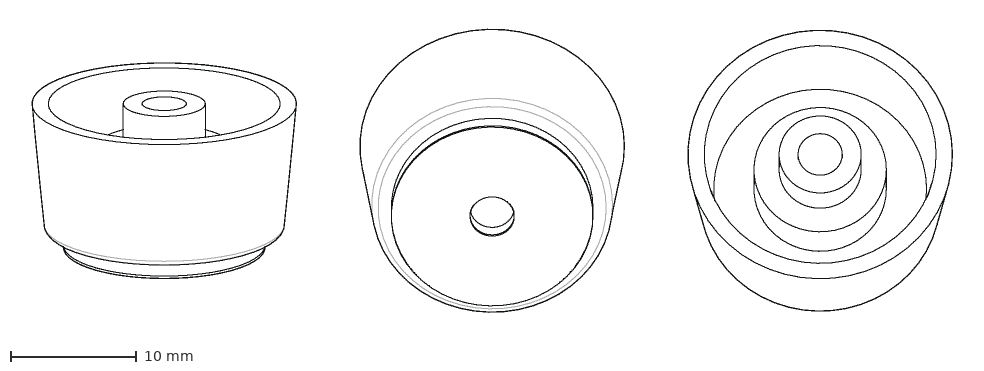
import cadquery as cq
import math

rim_diameter = 21.0
rim_opening_diameter = 18.4
floor_diameter = 16.88
wall_taper = 5.4
cup_height = 10.5
cavity_depth = 8.0
bottom_edge_radius = 0.5

flange_diameter = 10.5
boss_diameter = 6.5
boss_height = 3.5
bore_diameter = 3.5

pad_diameter = 16.0
pad_thickness = 1.28
film_thickness = 0.2

pad_bottom = film_thickness
cup_bottom = pad_bottom + pad_thickness
rim_top = cup_bottom + cup_height
floor_top = rim_top - cavity_depth
flange_top = rim_top - boss_height


def cylinder(diameter, bottom, height):
    """Upright cylinder centred on the Z axis."""
    return cq.Workplane("XY").workplane(offset=bottom).circle(diameter / 2).extrude(height)


def cone(bottom_diameter, top_diameter, bottom, height):
    """Upright truncated cone centred on the Z axis."""
    return cq.Workplane(
        cq.Solid.makeCone(bottom_diameter / 2, top_diameter / 2, height, pnt=cq.Vector(0, 0, bottom))
    )


def bored_disc(diameter, bottom, thickness):
    """Flat round layer with the central bore through it."""
    return cylinder(diameter, bottom, thickness).cut(cylinder(bore_diameter, bottom, thickness))


def make_cup():
    """Tapered open cup with a stepped central boss and a through bore."""
    bottom_diameter = rim_diameter - 2 * cup_height * math.tan(math.radians(wall_taper))
    shell = cone(bottom_diameter, rim_diameter, cup_bottom, cup_height)
    shell = shell.faces("<Z").edges().fillet(bottom_edge_radius)
    shell = shell.cut(cone(floor_diameter, rim_opening_diameter, floor_top, cavity_depth))

    flange = cylinder(flange_diameter, floor_top, flange_top - floor_top)
    boss = cylinder(boss_diameter, flange_top, boss_height)
    bore = cylinder(bore_diameter, cup_bottom, cup_height)
    return shell.union(flange).union(boss).cut(bore)


cup = make_cup()
pad = bored_disc(pad_diameter, pad_bottom, pad_thickness)
film = bored_disc(pad_diameter, 0, film_thickness)

result = cq.Compound.makeCompound([cup.solids().val(), pad.solids().val(), film.solids().val()])